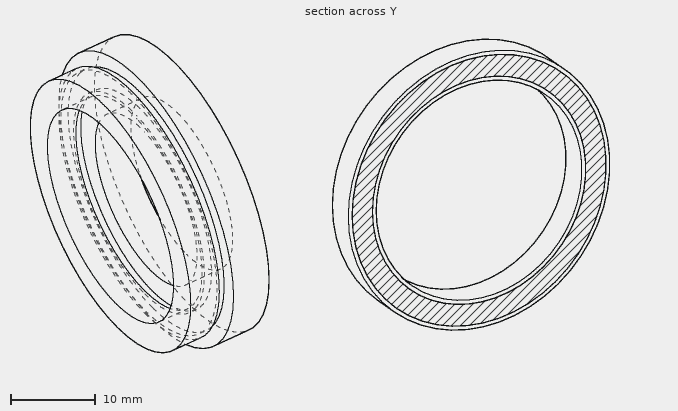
import cadquery as cq

flange_diameter = 38.1
flange_length = 5.0
spigot_diameter = 35.0
spigot_length = 4.0
bore_diameter = 22.2
counterbore_diameter = 27.5
relief_width = 1.0
relief_depth = 0.5

spigot_end = 0.0
relief_start = spigot_end + spigot_length
flange_start = relief_start + relief_width
flange_end = flange_start + flange_length


def disc(diameter, y_start, y_end):
    """Solid cylinder on the Y axis between two stations."""
    plane = cq.Workplane("XZ", origin=(0, y_start, 0))
    return plane.circle(diameter / 2).extrude(y_start - y_end)


def outer_body():
    """Flange and spigot joined by the narrower neck of the outer relief."""
    flange = disc(flange_diameter, flange_start, flange_end)
    neck = disc(spigot_diameter - 2 * relief_depth, relief_start, flange_start)
    spigot = disc(spigot_diameter, spigot_end, relief_start)
    return flange.union(neck).union(spigot)


def inner_cavity():
    """Through bore, counterbore and the wider relief at the counterbore floor."""
    bore = disc(bore_diameter, spigot_end, flange_end)
    counterbore = disc(counterbore_diameter, spigot_end, relief_start)
    relief = disc(counterbore_diameter + 2 * relief_depth, relief_start, flange_start)
    return bore.union(counterbore).union(relief)


result = outer_body().cut(inner_cavity())